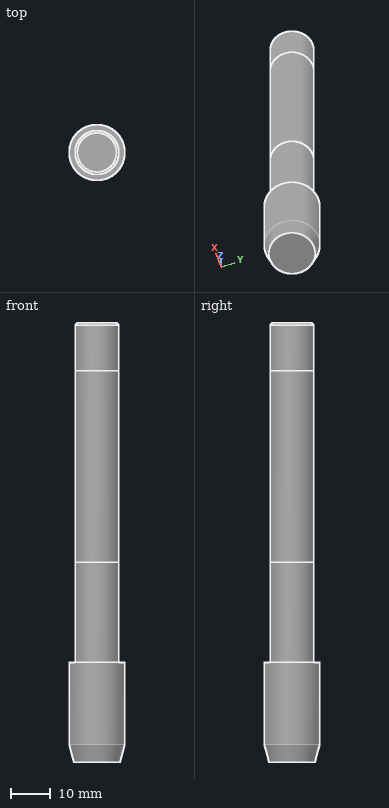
import cadquery as cq
import math

total_length = 110
plug_diameter = 14
plug_length = 25
lead_in_length = 4.5
lead_in_angle = 15
neck_diameter = 10.9
neck_top = 50
shaft_diameter = 11
tip_length = 12
tip_chamfer = 0.6
tip_base = total_length - tip_length


def make_pin():
    """Turned pin: tapered plug, slimmer neck and plain shaft up to the tip."""
    plug_radius = plug_diameter / 2
    lead_in_radius = plug_radius - lead_in_length * math.tan(math.radians(lead_in_angle))
    profile = [
        (0, 0),
        (lead_in_radius, 0),
        (plug_radius, lead_in_length),
        (plug_radius, plug_length),
        (neck_diameter / 2, plug_length),
        (neck_diameter / 2, neck_top),
        (shaft_diameter / 2, neck_top),
        (shaft_diameter / 2, tip_base),
        (0, tip_base),
    ]
    return cq.Workplane("XZ").polyline(profile).close().revolve(360, (0, 0), (0, 1))


def make_tip():
    """Cylindrical tip with a chamfered free end, flush with the shaft."""
    seat = cq.Workplane("XY").workplane(offset=tip_base)
    blank = seat.circle(shaft_diameter / 2).extrude(tip_length)
    return blank.faces(">Z").chamfer(tip_chamfer)


pin = make_pin()
tip = make_tip()

result = cq.Compound.makeCompound([pin.val(), tip.val()])